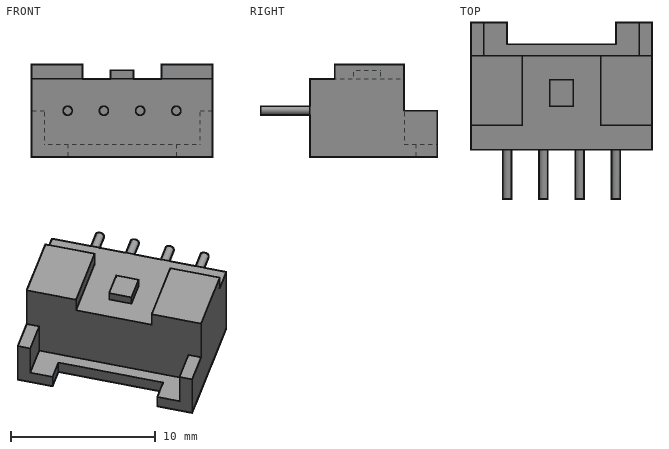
import cadquery as cq


body_width = 12.5
body_length = 8.8
body_height = 5.4
front_ledge = 1.7
mouth_length = 2.3
mouth_height = 3.2
wall = 0.9
mouth_start = body_length - mouth_length

notch_width = 7.5
notch_depth = 1.5

pad_width = 3.54
pad_height = 1.0
pad_length = mouth_start - front_ledge

key_width = 1.6
key_length = 1.84
key_height = 0.6
key_start = 3.0

pin_count = 4
pin_pitch = 2.5
pin_diameter = 0.62
pin_length = 3.4
pin_axis_height = 3.2


def block(x_center, y_start, z_start, width, length, height):
    """Box centred on x_center in X and rising from y_start and z_start."""
    box = cq.Workplane("XY").box(width, length, height, centered=(True, False, False))
    return box.translate((x_center, y_start, z_start))


def housing():
    """Stepped side profile extruded across the full width."""
    return (
        cq.Workplane("YZ")
        .polyline([
            (0, 0),
            (body_length, 0),
            (body_length, mouth_height),
            (mouth_start, mouth_height),
            (mouth_start, body_height),
            (0, body_height),
        ])
        .close()
        .extrude(body_width / 2, both=True)
    )


def mouth_recess():
    """Open recess that leaves two side walls and a floor at the mating end."""
    return block(0, mouth_start, wall, body_width - 2 * wall, mouth_length, mouth_height - wall)


def floor_notch():
    """Rectangular notch through the rear edge of the mouth floor."""
    return block(0, body_length - notch_depth, 0, notch_width, notch_depth, mouth_height)


def raised_pad(side):
    """Roof pad flush with the side face; side is -1 or +1."""
    x_center = side * (body_width - pad_width) / 2
    return block(x_center, front_ledge, 0, pad_width, pad_length, body_height + pad_height)


def roof_key():
    """Small rectangular block on the roof."""
    return block(0, key_start, body_height, key_width, key_length, key_height)


def pin(x_center):
    """Round pin projecting from the front face."""
    return (
        cq.Workplane("XZ")
        .center(x_center, pin_axis_height)
        .circle(pin_diameter / 2)
        .extrude(pin_length)
    )


result = housing().cut(mouth_recess()).cut(floor_notch())
for pad_side in (-1, 1):
    result = result.union(raised_pad(pad_side))
result = result.union(roof_key())
for index in range(pin_count):
    pin_x = (index - (pin_count - 1) / 2) * pin_pitch
    result = result.union(pin(pin_x))